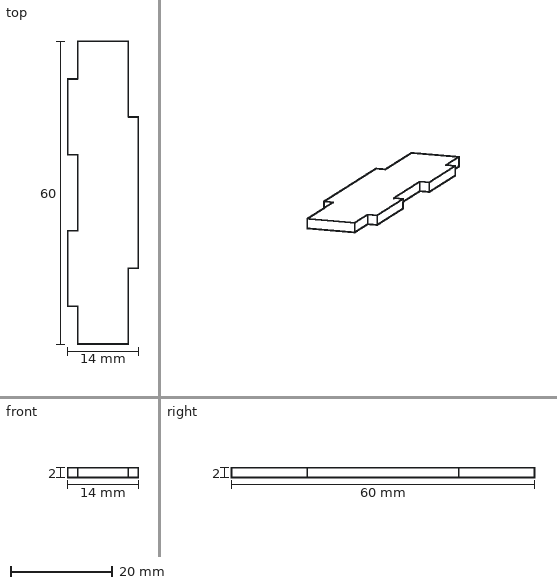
import cadquery as cq

length = 60.0
body_width = 10.0
thickness = 2.0
tab_depth = thickness
short_tab_length = length / 4
long_tab_length = length / 2
short_tab_offset = length / 4


def edge_tab(side, center_y, tab_length):
    """Rectangular tab on the -X (side=-1) or +X (side=1) edge of the body."""
    center_x = side * (body_width + tab_depth) / 2
    return cq.Workplane("XY").box(tab_depth, tab_length, thickness).translate((center_x, center_y, 0))


result = cq.Workplane("XY").box(body_width, length, thickness)

for direction in (-1, 1):
    result = result.union(edge_tab(-1, direction * short_tab_offset, short_tab_length))

result = result.union(edge_tab(1, 0, long_tab_length)).clean()